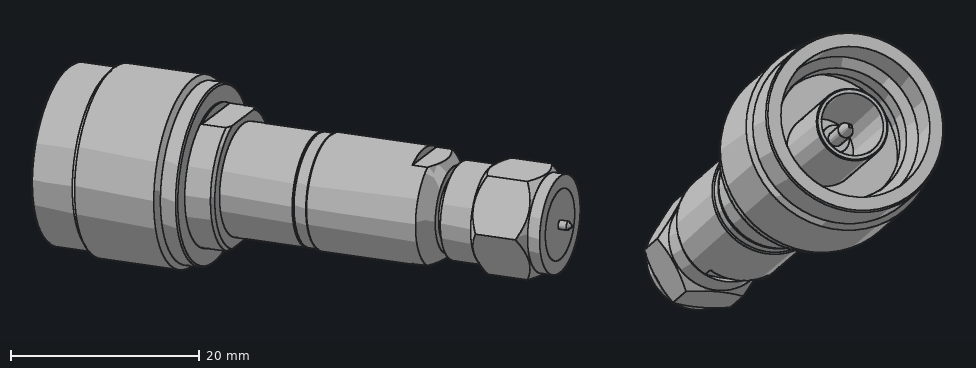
import cadquery as cq
import math


NUT_END = 16.95
NUT_RADIUS = 9.95
NUT_EDGE_CHAMFER = 0.2
BAND_RADIUS = 10.5
BAND_START = 4.8
BAND_END = 15.0
BAND_CHAMFER = 0.5
MOUTH_RADIUS = 8.3
MOUTH_DEPTH = 4.15
THREAD_RADIUS = 7.25
THREAD_START = 4.9
THREAD_END = 7.35
RELIEF_RADIUS = 8.35
RELIEF_END = BAND_END - BAND_CHAMFER

FLANGE_START = 11.7
TUBE_START = 1.05
TUBE_RADIUS = 4.0
TUBE_BORE_RADIUS = 3.45
TUBE_CHAMFER = 0.1
LARGE_PIN_START = 1.75
LARGE_PIN_TIP_RADIUS = 0.2
LARGE_PIN_RADIUS = 0.8
LARGE_PIN_TAPER = 1.75
LARGE_PIN_SHOULDER = 7.0
LARGE_PIN_BASE_RADIUS = 1.5

COLLAR_RADIUS = 7.9
COLLAR_END = 20.3
COLLAR_CHAMFER = 0.35
COLLAR_FLAT_START = 17.1
COLLAR_ACROSS_FLATS = 13.9
BARREL_RADIUS = 6.25
BARREL_GROOVE_X = 28.7
BARREL_GROOVE_WIDTH = 0.2
BARREL_GROOVE_DEPTH = 0.1
SLEEVE_START = 30.3
SLEEVE_RADIUS = 6.45
SLEEVE_CONE_START = 43.1
SLEEVE_CONE_END_RADIUS = 4.8
SLEEVE_END = 44.65
SLEEVE_FLAT_START = 41.3
SLEEVE_ACROSS_FLATS = 11.1
NECK_RADIUS = 3.9

HEX_NUT_START = 45.55
HEX_NUT_END = 57.05
HEX_NUT_RADIUS = 5.45
HEX_START = 49.05
HEX_END = 55.65
HEX_ACROSS_FLATS = 11.1
SMALL_PIN_RADIUS = 0.495
SMALL_PIN_TAPER = 0.45
SMALL_PIN_TIP_RADIUS = 0.05
ADAPTER_END = 58.45


def turned(outline):
    """Revolve an outline of (x, radius) points about the X axis."""
    return cq.Workplane("XY").polyline(outline).close().revolve(360, (0, 0), (1, 0))


def disc(start, end, radius):
    """Cylinder along X."""
    return cq.Workplane("YZ").workplane(offset=start).circle(radius).extrude(end - start)


def cut_flats(solid, start, end, radius, across_flats):
    """Cut the two flats that face +Z and -Z between two stations along X."""
    depth = radius - across_flats / 2
    for side in (1, -1):
        cutter = cq.Workplane("XY").box(end - start, 2 * radius, depth, centered=(False, True, True))
        solid = solid.cut(cutter.translate((start, 0, side * (across_flats + depth) / 2)))
    return solid


def make_coupling_nut():
    outline = [
        (0, MOUTH_RADIUS),
        (0, NUT_RADIUS - NUT_EDGE_CHAMFER),
        (NUT_EDGE_CHAMFER, NUT_RADIUS),
        (BAND_START, NUT_RADIUS),
        (BAND_START + BAND_CHAMFER, BAND_RADIUS),
        (BAND_END - BAND_CHAMFER, BAND_RADIUS),
        (BAND_END, NUT_RADIUS),
        (NUT_END - NUT_EDGE_CHAMFER, NUT_RADIUS),
        (NUT_END, NUT_RADIUS - NUT_EDGE_CHAMFER),
        (NUT_END, BARREL_RADIUS),
        (RELIEF_END, BARREL_RADIUS),
        (RELIEF_END, RELIEF_RADIUS),
        (THREAD_END + RELIEF_RADIUS - THREAD_RADIUS, RELIEF_RADIUS),
        (THREAD_END, THREAD_RADIUS),
        (THREAD_START, THREAD_RADIUS),
        (MOUTH_DEPTH, MOUTH_RADIUS),
    ]
    return turned(outline)


def make_body():
    sleeve_step = SLEEVE_RADIUS - BARREL_RADIUS
    groove_end = BARREL_GROOVE_X + BARREL_GROOVE_WIDTH
    groove_radius = BARREL_RADIUS - BARREL_GROOVE_DEPTH
    outline = [
        (LARGE_PIN_START, 0),
        (LARGE_PIN_START, LARGE_PIN_TIP_RADIUS),
        (LARGE_PIN_START + LARGE_PIN_TAPER, LARGE_PIN_RADIUS),
        (LARGE_PIN_SHOULDER, LARGE_PIN_RADIUS),
        (LARGE_PIN_SHOULDER, LARGE_PIN_BASE_RADIUS),
        (FLANGE_START, LARGE_PIN_BASE_RADIUS),
        (FLANGE_START, TUBE_BORE_RADIUS),
        (TUBE_START, TUBE_BORE_RADIUS),
        (TUBE_START, TUBE_RADIUS - TUBE_CHAMFER),
        (TUBE_START + TUBE_CHAMFER, TUBE_RADIUS),
        (FLANGE_START, TUBE_RADIUS),
        (FLANGE_START, RELIEF_RADIUS),
        (RELIEF_END, RELIEF_RADIUS),
        (RELIEF_END, BARREL_RADIUS),
        (NUT_END, BARREL_RADIUS),
        (NUT_END, COLLAR_RADIUS),
        (COLLAR_END - COLLAR_CHAMFER, COLLAR_RADIUS),
        (COLLAR_END, COLLAR_RADIUS - COLLAR_CHAMFER),
        (COLLAR_END, BARREL_RADIUS),
        (BARREL_GROOVE_X, BARREL_RADIUS),
        (BARREL_GROOVE_X, groove_radius),
        (groove_end, groove_radius),
        (groove_end, BARREL_RADIUS),
        (SLEEVE_START, BARREL_RADIUS),
        (SLEEVE_START + sleeve_step, SLEEVE_RADIUS),
        (SLEEVE_CONE_START, SLEEVE_RADIUS),
        (SLEEVE_END, SLEEVE_CONE_END_RADIUS),
        (SLEEVE_END, NECK_RADIUS),
        (HEX_NUT_END, NECK_RADIUS),
        (HEX_NUT_END, SMALL_PIN_RADIUS),
        (ADAPTER_END - SMALL_PIN_TAPER, SMALL_PIN_RADIUS),
        (ADAPTER_END, SMALL_PIN_TIP_RADIUS),
        (ADAPTER_END, 0),
    ]
    body = turned(outline)
    body = cut_flats(body, COLLAR_FLAT_START, COLLAR_END, COLLAR_RADIUS, COLLAR_ACROSS_FLATS)
    return cut_flats(body, SLEEVE_FLAT_START, SLEEVE_END, SLEEVE_RADIUS, SLEEVE_ACROSS_FLATS)


def make_hex_nut():
    corner_radius = HEX_ACROSS_FLATS / 2 / math.cos(math.pi / 6)
    corner_chamfer = corner_radius - HEX_NUT_RADIUS
    hexagon = (
        cq.Workplane("YZ")
        .workplane(offset=HEX_START)
        .polygon(6, 2 * corner_radius)
        .extrude(HEX_END - HEX_START)
    )
    blank = disc(HEX_START, HEX_END, corner_radius).edges().chamfer(corner_chamfer)
    nut = disc(HEX_NUT_START, HEX_NUT_END, HEX_NUT_RADIUS).union(hexagon.intersect(blank))
    return nut.cut(disc(HEX_NUT_START, HEX_NUT_END, NECK_RADIUS))


coupling_nut = make_coupling_nut()
body = make_body()
hex_nut = make_hex_nut()

result = cq.Compound.makeCompound([coupling_nut.val(), body.val(), hex_nut.val()])